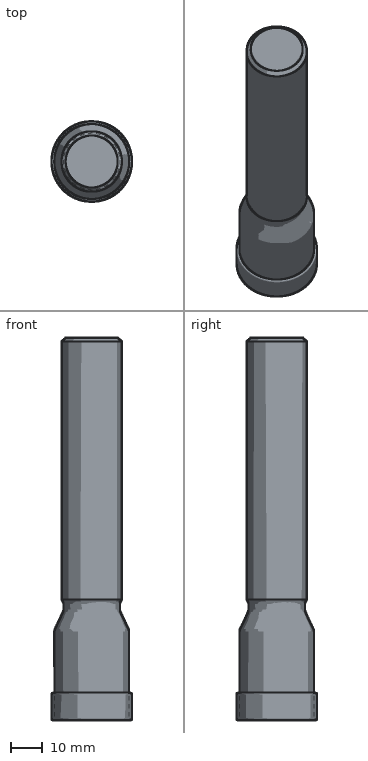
import cadquery as cq

TOTAL_LENGTH = 120.6

COLLAR_RADIUS = 25.5 / 2
COLLAR_HEIGHT = 8.7
COLLAR_FILLET = 0.6

FOOT_RADIUS = 11.8
FOOT_HEIGHT = 28.4
NECK_RADIUS = 8.9
NECK_BOTTOM = 34.5
NECK_TOP = 37.0
SHANK_RADIUS = 9.5
SHANK_BOTTOM = 38.1
TIP_CHAMFER_WIDTH = 1.3
TIP_CHAMFER_HEIGHT = 1.2

FOOT_BLEND = 1.8
NECK_BLEND = 1.8
SHOULDER_BLEND = 1.5


def rounded_edge(post, height, radius):
    """Round the circular edge of the post that lies at the given height."""
    margin = 0.1
    reach = FOOT_RADIUS + margin
    edge_box = cq.selectors.BoxSelector(
        (-reach, -reach, height - margin),
        (reach, reach, height + margin),
        boundingbox=True,
    )
    return post.edges(edge_box).fillet(radius)


def make_post():
    """Turned post with a thick foot, a cone, an undercut neck and a long shank."""
    post = (
        cq.Workplane("XZ")
        .moveTo(0, 0)
        .lineTo(FOOT_RADIUS, 0)
        .lineTo(FOOT_RADIUS, FOOT_HEIGHT)
        .lineTo(NECK_RADIUS, NECK_BOTTOM)
        .lineTo(NECK_RADIUS, NECK_TOP)
        .lineTo(SHANK_RADIUS, SHANK_BOTTOM)
        .lineTo(SHANK_RADIUS, TOTAL_LENGTH - TIP_CHAMFER_HEIGHT)
        .lineTo(SHANK_RADIUS - TIP_CHAMFER_WIDTH, TOTAL_LENGTH)
        .lineTo(0, TOTAL_LENGTH)
        .close()
        .revolve(360, (0, 0, 0), (0, 1, 0))
    )
    post = rounded_edge(post, FOOT_HEIGHT, FOOT_BLEND)
    post = rounded_edge(post, NECK_BOTTOM, NECK_BLEND)
    return rounded_edge(post, NECK_TOP, SHOULDER_BLEND)


def make_collar():
    """Ring fitted around the foot, with its outer edges rounded."""
    return (
        cq.Workplane("XY")
        .circle(COLLAR_RADIUS)
        .extrude(COLLAR_HEIGHT)
        .edges()
        .fillet(COLLAR_FILLET)
        .circle(FOOT_RADIUS)
        .cutThruAll()
    )


post = make_post()
collar = make_collar()

result = cq.Compound.makeCompound([post.val(), collar.val()])